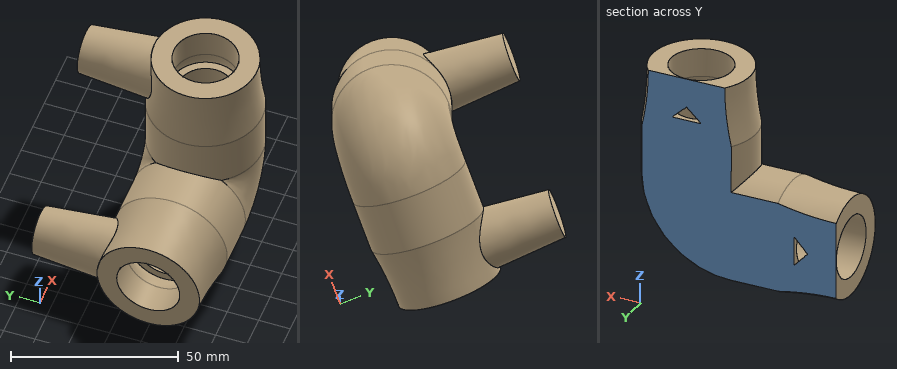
import cadquery as cq
import math

overall_length = 67.8
overall_width = 56.0
pipe_diameter = 36.0
mouth_diameter = 32.55
neck_length = 19.4
bend_radius = 14.65
socket_diameter = 20.0
socket_depth = 9.35
flare_diameter = 22.1
floor_depth = 14.0
bore_diameter = 17.1
stub_tip_diameter = 15.2
stub_tip_reach = overall_width - pipe_diameter / 2
stub_inset = 10.3
stub_draft = 4.8
stub_root = 11.5

pipe_radius = pipe_diameter / 2
arm_length = overall_length - pipe_radius - bend_radius
upright_x = overall_length - pipe_radius
neck_drop = (pipe_diameter - mouth_diameter) / 2
flare_rise = (flare_diameter - socket_diameter) / 2


def tangent_arc_middle(length, rise):
    """Halfway point, (along, across), of an arc that starts along its length and rises away from it."""
    radius = (length**2 + rise**2) / (2 * rise)
    half_angle = math.asin(length / radius) / 2
    return radius * math.sin(half_angle), radius * (1 - math.cos(half_angle))


def place_arms(arm):
    """Put an arm, built along +X from its open end, on the horizontal and the vertical leg."""
    horizontal = arm.translate((0, 0, pipe_radius))
    vertical = arm.rotate((0, 0, 0), (0, 1, 0), 90).translate((upright_x, 0, overall_length))
    return horizontal.union(vertical)


def revolve_about_x(profile):
    """Close a half profile along the X axis and turn it into a solid of revolution."""
    return profile.close().revolve(360, (0, 0, 0), (1, 0, 0))


def arm_body():
    """Straight leg whose outside narrows in a concave arc to the open end."""
    along, across = tangent_arc_middle(neck_length, neck_drop)
    mouth_radius = mouth_diameter / 2
    return revolve_about_x(
        cq.Workplane("XY")
        .lineTo(0, mouth_radius)
        .threePointArc((along, mouth_radius + across), (neck_length, pipe_radius))
        .lineTo(arm_length, pipe_radius)
        .lineTo(arm_length, 0)
    )


def arm_cavity():
    """Socket that flares out to a flat floor, followed by the narrower bore."""
    along, across = tangent_arc_middle(floor_depth - socket_depth, flare_rise)
    socket_radius = socket_diameter / 2
    bore_radius = bore_diameter / 2
    return revolve_about_x(
        cq.Workplane("XY")
        .lineTo(0, socket_radius)
        .lineTo(socket_depth, socket_radius)
        .threePointArc((socket_depth + along, socket_radius + across), (floor_depth, flare_diameter / 2))
        .lineTo(floor_depth, bore_radius)
        .lineTo(arm_length, bore_radius)
        .lineTo(arm_length, 0)
    )


def bend(diameter):
    """Quarter-turn bend joining the legs; a section reaching past the bend axis is cut off at the axis."""
    section = cq.Sketch().circle(diameter / 2)
    overhang = diameter / 2 - bend_radius
    if overhang > 0:
        section = section.push([(0, bend_radius + overhang)]).rect(diameter, 2 * overhang, mode="s").reset()
    return (
        cq.Workplane("YZ", origin=(arm_length, 0, pipe_radius))
        .placeSketch(section)
        .revolve(90, (0, bend_radius, 0), (-1, bend_radius, 0))
    )


def stub(x, z):
    """Tapered stub pointing along +Y."""
    length = stub_tip_reach - stub_root
    return (
        cq.Workplane("XZ", origin=(x, stub_tip_reach, z))
        .circle(stub_tip_diameter / 2)
        .extrude(length, taper=-stub_draft)
    )


outside = place_arms(arm_body()).union(bend(pipe_diameter))
outside = outside.union(stub(stub_inset, pipe_radius))
outside = outside.union(stub(upright_x, overall_length - stub_inset))
result = outside.cut(place_arms(arm_cavity())).cut(bend(bore_diameter))